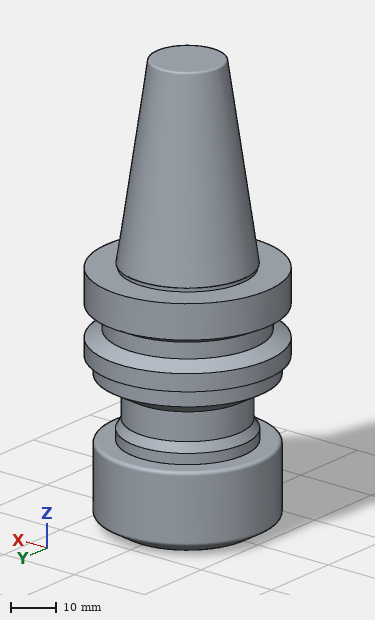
import cadquery as cq


nut_diameter = 42.0
nut_face_diameter = 31.8
nut_bevel_height = 3.0
nut_top = 20.3
nut_edge_radius = 0.9

collar_diameter = 32.0
collar_top = 23.0
neck_diameter = 29.5
neck_bottom = 25.3
neck_top = 32.3

shoulder_diameter = 42.0
shoulder_bottom = 35.9
flange_diameter = 45.9
flange_bottom = 40.2
flange_top = 61.0
groove_diameter = 38.0
groove_bottom = 44.5
groove_top = 52.4
groove_flank_height = 2.0

land_diameter = 31.1
taper_bottom = 62.0
taper_diameter = 31.8
taper_ratio = 7 / 24
total_height = 110.4
tip_edge_radius = 0.5
tip_diameter = taper_diameter - taper_ratio * (total_height - taper_bottom)


def revolve_profile(stations):
    """Turn (diameter, height) stations, listed upwards, into a solid of revolution."""
    outline = [(diameter / 2, height) for diameter, height in stations]
    bottom = outline[0][1]
    top = outline[-1][1]
    profile = cq.Workplane("XZ").polyline([(0, bottom)] + outline + [(0, top)]).close()
    return profile.revolve(360, (0, 0, 0), (0, 1, 0))


def make_nut():
    nut = revolve_profile([
        (nut_face_diameter, 0),
        (nut_diameter, nut_bevel_height),
        (nut_diameter, nut_top),
    ])
    rim_edges = cq.selectors.RadiusNthSelector(-1)
    return nut.edges(rim_edges).fillet(nut_edge_radius)


def make_body():
    return revolve_profile([
        (collar_diameter, nut_top),
        (collar_diameter, collar_top),
        (neck_diameter, neck_bottom),
        (neck_diameter, neck_top),
        (shoulder_diameter, shoulder_bottom),
        (shoulder_diameter, flange_bottom),
        (flange_diameter, flange_bottom),
        (flange_diameter, groove_bottom),
        (groove_diameter, groove_bottom + groove_flank_height),
        (groove_diameter, groove_top - groove_flank_height),
        (flange_diameter, groove_top),
        (flange_diameter, flange_top),
        (land_diameter, flange_top),
        (land_diameter, taper_bottom),
    ])


def make_shank():
    shank = revolve_profile([
        (taper_diameter, taper_bottom),
        (tip_diameter, total_height),
    ])
    return shank.faces(">Z").edges().fillet(tip_edge_radius)


result = make_nut().union(make_body()).union(make_shank())